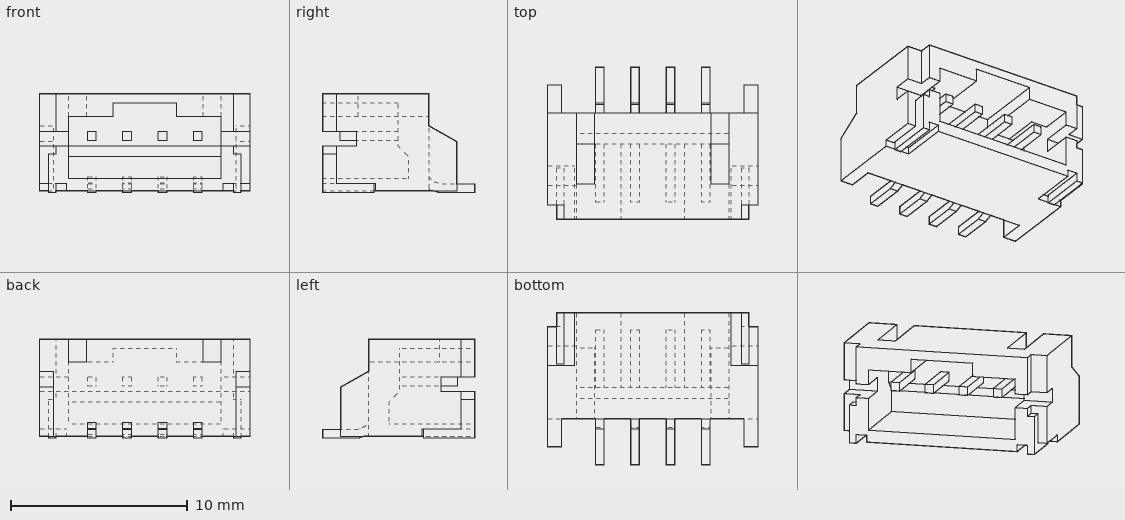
import cadquery as cq
import math

width = 11.9
depth = 6.01
height = 5.5

cavity_width = 8.6
cavity_floor = 0.7
cavity_roof = 4.2
cavity_depth = 4.25
key_width = 3.6
key_roof = 4.97

undercut_front_top = 2.55
undercut_back_top = 1.94
undercut_depth = cavity_depth + undercut_front_top - undercut_back_top

slit_bottom = 2.55
slit_top = 3.34
slit_depth = 1.9

roof_slot_width = 1.01
roof_slot_front = 2.0

corner_notch_x = 0.93
corner_notch_y = 0.8

arm_width = 0.8
arm_root = depth - arm_width
arm_rear = 7.59
arm_top_front = 3.68
arm_top_rear = 2.78

foot_offset = 0.52
foot_depth = 2.9
foot_top = 2.1
foot_pocket_width = 1.54
foot_pocket_depth = 3.0
foot_pocket_height = 0.4
solder_drop = 0.11

pin_count = 4
pin_pitch = 2.0
pin_size = 0.5
pin_front = 0.98
pin_top = slit_top
tail_rear = 8.6
tail_start = 6.58
kink_length = 0.08
kink_rise = 0.06
bend_radius = 0.71
bend_start_angle = math.radians(10)


def block(x_range, y_range, z_range):
    """Box between the given limits on each axis."""
    (x0, x1), (y0, y1), (z0, z1) = x_range, y_range, z_range
    return cq.Workplane("XY").box(x1 - x0, y1 - y0, z1 - z0, centered=False).translate((x0, y0, z0))


def side_prism(points, x_start, thickness):
    """Extrude a closed outline of (y, z) points along +X."""
    return cq.Workplane("YZ").workplane(offset=x_start).polyline(points).close().extrude(thickness)


def both_sides(shape):
    """The shape together with its mirror image across x = 0."""
    return shape.union(shape.mirror("YZ"))


def make_arms():
    outline = [
        (arm_root, 0),
        (arm_rear, 0),
        (arm_rear, arm_top_rear),
        (depth, arm_top_front),
        (arm_root, arm_top_front),
    ]
    return both_sides(side_prism(outline, -width / 2, arm_width))


def make_cavity():
    half = cavity_width / 2
    main = block((-half, half), (0, cavity_depth), (cavity_floor, cavity_roof))
    key = block((-key_width / 2, key_width / 2), (0, cavity_depth), (cavity_floor, key_roof))
    undercut = side_prism(
        [
            (cavity_depth, cavity_floor),
            (undercut_depth, cavity_floor),
            (undercut_depth, undercut_back_top),
            (cavity_depth, undercut_front_top),
        ],
        -half,
        cavity_width,
    )
    return main.union(key).union(undercut)


def make_slit():
    return block((-width / 2, width / 2), (0, slit_depth), (slit_bottom, slit_top))


def make_roof_slots():
    x0 = -cavity_width / 2
    return both_sides(
        block((x0, x0 + roof_slot_width), (roof_slot_front, depth), (cavity_roof, height))
    )


def make_corner_notches():
    return both_sides(
        block((-width / 2, -width / 2 + corner_notch_x), (0, corner_notch_y), (0, height))
    )


def make_foot_pockets():
    return both_sides(
        block(
            (-width / 2, -width / 2 + foot_pocket_width),
            (0, foot_pocket_depth),
            (0, foot_pocket_height),
        )
    )


def make_feet():
    x_range = (-width / 2 + foot_offset, -width / 2 + corner_notch_x)
    upright = block(x_range, (0, corner_notch_y), (-solder_drop, foot_top))
    sole = block(x_range, (0, foot_depth), (-solder_drop, foot_pocket_height))
    return both_sides(upright.union(sole))


def make_pin(x):
    """Horizontal contact, vertical riser buried in the rear wall, curved bend and flat solder tail."""
    contact_bottom = pin_top - pin_size
    tail_bottom = -solder_drop
    tail_top = tail_bottom + pin_size
    bend_end = tail_start - kink_length
    bend_centre_y = bend_end + bend_radius * math.sin(bend_start_angle)
    bend_centre_z = tail_top + kink_rise + bend_radius * math.cos(bend_start_angle)

    def bend_point(radius, angle):
        y = bend_centre_y - radius * math.sin(angle)
        z = bend_centre_z - radius * math.cos(angle)
        return (y, z)

    inner, outer = bend_radius, bend_radius + pin_size
    start, end = bend_start_angle, math.pi / 2
    middle = (start + end) / 2
    outline = (
        cq.Workplane("YZ")
        .workplane(offset=x - pin_size / 2)
        .moveTo(pin_front, pin_top)
        .lineTo(pin_front, contact_bottom)
        .lineTo(bend_centre_y - outer, contact_bottom)
        .lineTo(*bend_point(outer, end))
        .threePointArc(bend_point(outer, middle), bend_point(outer, start))
        .lineTo(tail_start, tail_bottom)
        .lineTo(tail_rear, tail_bottom)
        .lineTo(tail_rear, tail_top)
        .lineTo(tail_start, tail_top)
        .lineTo(*bend_point(inner, start))
        .threePointArc(bend_point(inner, middle), bend_point(inner, end))
        .lineTo(bend_centre_y - inner, pin_top)
        .close()
    )
    return outline.extrude(pin_size)


housing = block((-width / 2, width / 2), (0, depth), (0, height)).union(make_arms())
housing = housing.cut(make_cavity()).cut(make_slit()).cut(make_roof_slots())
housing = housing.cut(make_corner_notches()).cut(make_foot_pockets())

result = housing.union(make_feet())
for i in range(pin_count):
    result = result.union(make_pin((i - (pin_count - 1) / 2) * pin_pitch))